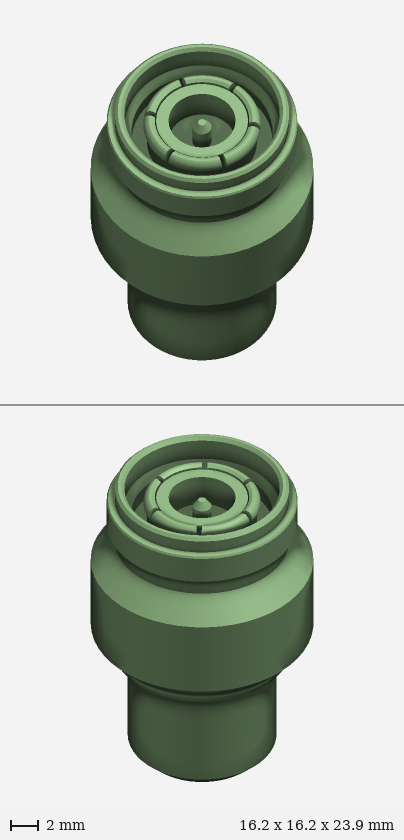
import cadquery as cq

LENGTH = 23.85
BODY_DIAMETER = 16.2
BODY_RADIUS = BODY_DIAMETER / 2

SLEEVE_RADIUS = 5.41
SLEEVE_TOP = 8.5
SLEEVE_REAR_CHAMFER = 1.0
SLEEVE_FRONT_CHAMFER_WIDTH = 0.2
SLEEVE_FRONT_CHAMFER_HEIGHT = 0.29
NECK_RADIUS = 4.36
NECK_TOP = 8.97

LIP_BOTTOM_RADIUS = 6.45
LIP_BEND_RADIUS = 6.75
LIP_BEND_Z = 9.45
LIP_EDGE_RADIUS = 6.82
LIP_EDGE_Z = 9.6
LIP_TOP_RADIUS = 6.9
BODY_BOTTOM = 10.1
BODY_REAR_CHAMFER = 1.1

BARREL_RADIUS = 6.35
BARREL_BOTTOM = 18.85
BARREL_CHAMFER = 0.21
COLLAR_RADIUS = 6.95
COLLAR_BOTTOM = 20.27
COLLAR_TOP = 22.63
COLLAR_CHAMFER_WIDTH = 0.1
COLLAR_CHAMFER_HEIGHT = 0.15

CAVITY_FLOOR = 20.27
CAVITY_RADIUS = 5.65
CAVITY_SEAT_RADIUS = 5.13
CAVITY_SEAT_TOP = 21.95
CAVITY_MOUTH_CHAMFER = 0.25

RING_RADIUS = 4.27
RING_STEM_RADIUS = 4.0
RING_TOP_RADIUS = 3.86
RING_TOP = 23.0
RING_BEAD_BOTTOM = 21.82
RING_MOUTH_RADIUS = 3.67
RING_MOUTH_DEPTH = 0.15
RING_BORE_RADIUS = 3.43
SLOT_COUNT = 6
SLOT_WIDTH = 0.38

INSULATOR_RADIUS = 3.35
INSULATOR_BORE_RADIUS = 2.43
INSULATOR_TOP = 22.75
PIN_RADIUS = 0.7
PIN_TIP_RADIUS = 0.29
PIN_SHOULDER_Z = 22.01
PIN_TOP = 22.56


def revolve(wire):
    """Turn a closed (radius, z) outline about the Z axis."""
    return wire.close().revolve(360, (0, 0, 0), (0, 1, 0))


def tube(outer_radius, inner_radius, bottom, top):
    return (
        cq.Workplane("XY")
        .workplane(offset=bottom)
        .circle(outer_radius)
        .circle(inner_radius)
        .extrude(top - bottom)
    )


def outer_body():
    points = [
        (0, 0),
        (SLEEVE_RADIUS - SLEEVE_REAR_CHAMFER, 0),
        (SLEEVE_RADIUS, SLEEVE_REAR_CHAMFER),
        (SLEEVE_RADIUS, SLEEVE_TOP - SLEEVE_FRONT_CHAMFER_HEIGHT),
        (SLEEVE_RADIUS - SLEEVE_FRONT_CHAMFER_WIDTH, SLEEVE_TOP),
        (NECK_RADIUS, SLEEVE_TOP),
        (NECK_RADIUS, NECK_TOP),
        (LIP_BOTTOM_RADIUS, NECK_TOP),
        (LIP_BEND_RADIUS, LIP_BEND_Z),
        (LIP_EDGE_RADIUS, LIP_EDGE_Z),
        (LIP_TOP_RADIUS, BODY_BOTTOM),
        (BODY_RADIUS - BODY_REAR_CHAMFER, BODY_BOTTOM),
        (BODY_RADIUS, BODY_BOTTOM + BODY_REAR_CHAMFER),
        (BODY_RADIUS, BARREL_BOTTOM - (BODY_RADIUS - BARREL_RADIUS)),
        (BARREL_RADIUS, BARREL_BOTTOM),
        (BARREL_RADIUS, COLLAR_BOTTOM),
        (COLLAR_RADIUS - COLLAR_CHAMFER_WIDTH, COLLAR_BOTTOM),
        (COLLAR_RADIUS, COLLAR_BOTTOM + COLLAR_CHAMFER_HEIGHT),
        (COLLAR_RADIUS, COLLAR_TOP - COLLAR_CHAMFER_HEIGHT),
        (COLLAR_RADIUS - COLLAR_CHAMFER_WIDTH, COLLAR_TOP),
        (BARREL_RADIUS, COLLAR_TOP),
        (BARREL_RADIUS, LENGTH - BARREL_CHAMFER),
        (BARREL_RADIUS - BARREL_CHAMFER, LENGTH),
        (0, LENGTH),
    ]
    return revolve(cq.Workplane("XZ").polyline(points))


def cavity():
    points = [
        (0, CAVITY_FLOOR),
        (CAVITY_SEAT_RADIUS, CAVITY_FLOOR),
        (CAVITY_SEAT_RADIUS, CAVITY_SEAT_TOP - (CAVITY_RADIUS - CAVITY_SEAT_RADIUS)),
        (CAVITY_RADIUS, CAVITY_SEAT_TOP),
        (CAVITY_RADIUS, LENGTH - CAVITY_MOUTH_CHAMFER),
        (CAVITY_RADIUS + CAVITY_MOUTH_CHAMFER, LENGTH),
        (0, LENGTH),
    ]
    return revolve(cq.Workplane("XZ").polyline(points))


def contact_ring():
    """Ring of spring fingers with a rounded bead at the free end."""
    bead_mid = (RING_TOP + RING_BEAD_BOTTOM) / 2
    ring = revolve(
        cq.Workplane("XZ")
        .moveTo(RING_BORE_RADIUS, CAVITY_FLOOR)
        .lineTo(RING_STEM_RADIUS, CAVITY_FLOOR)
        .lineTo(RING_STEM_RADIUS, RING_BEAD_BOTTOM)
        .threePointArc((RING_RADIUS, bead_mid), (RING_TOP_RADIUS, RING_TOP))
        .lineTo(RING_MOUTH_RADIUS, RING_TOP)
        .lineTo(RING_BORE_RADIUS, RING_TOP - RING_MOUTH_DEPTH)
    )
    for index in range(SLOT_COUNT // 2):
        cutter = (
            cq.Workplane("XY")
            .workplane(offset=CAVITY_FLOOR)
            .rect(SLOT_WIDTH, BODY_DIAMETER)
            .extrude(LENGTH - CAVITY_FLOOR)
            .rotate((0, 0, 0), (0, 0, 1), index * 360 / SLOT_COUNT)
        )
        ring = ring.cut(cutter)
    return ring


def centre_pin():
    points = [
        (0, CAVITY_FLOOR),
        (PIN_RADIUS, CAVITY_FLOOR),
        (PIN_RADIUS, PIN_SHOULDER_Z),
        (PIN_TIP_RADIUS, PIN_TOP),
        (0, PIN_TOP),
    ]
    return revolve(cq.Workplane("XZ").polyline(points))


insulator = tube(INSULATOR_RADIUS, INSULATOR_BORE_RADIUS, CAVITY_FLOOR, INSULATOR_TOP)

result = (
    outer_body()
    .cut(cavity())
    .union(contact_ring())
    .union(insulator)
    .union(centre_pin())
)